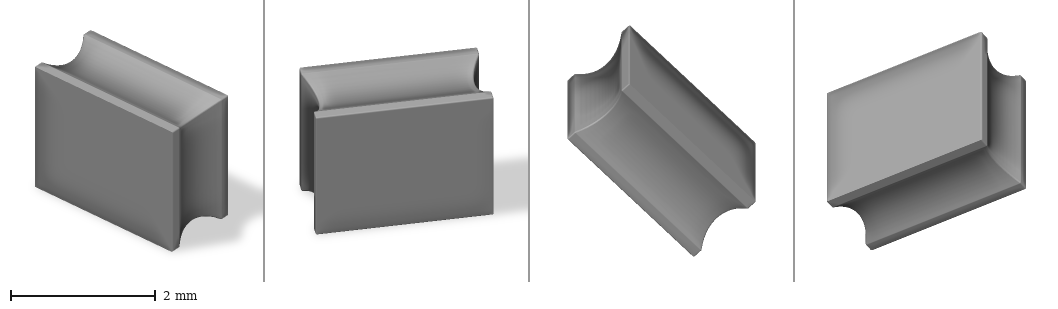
import cadquery as cq

length = 2.5
depth = 1.2
height = 2.0

flange_thickness = 0.15
groove_depth = 0.15
groove_half_width = depth / 2 - flange_thickness
groove_radius = (groove_half_width**2 + groove_depth**2) / (2 * groove_depth)
axis_offset = groove_radius - groove_depth

edge_radius = 0.02


def groove_cutter(axis, center, span):
    """Cylinder of the given span, centred on a point and lying along an axis."""
    plane = cq.Plane(origin=center, normal=axis)
    return cq.Workplane(plane).circle(groove_radius).extrude(span / 2, both=True)


block = cq.Workplane("XY").box(length, depth, height)

for side in (-1, 1):
    end_center = (side * (length / 2 + axis_offset), 0, 0)
    block = block.cut(groove_cutter((0, 0, 1), end_center, 2 * height))
    face_center = (0, 0, side * (height / 2 + axis_offset))
    block = block.cut(groove_cutter((1, 0, 0), face_center, 2 * length))

sharp_edges = block.faces("<Y").edges("|X").vals()
rounded_edges = []
for edge in block.edges().vals():
    if not any(edge.isSame(sharp) for sharp in sharp_edges):
        rounded_edges.append(edge)

result = block.newObject(rounded_edges).fillet(edge_radius)